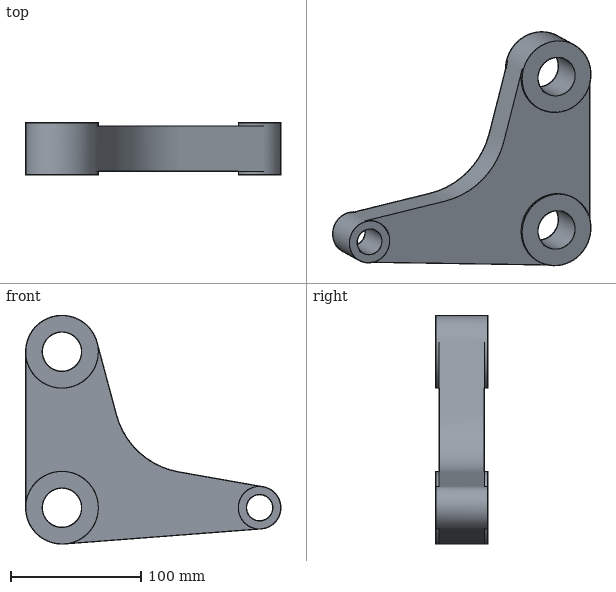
import cadquery as cq
import math

boss_diameter = 56.0
boss_bore = 30.0
end_boss_diameter = 32.8
end_boss_bore = 20.0
boss_length = 40.0
web_thickness = 35.0
upper_boss_z = 120.0
overall_length = 196.4
inner_radius = 60.0
upper_arm_taper = 15.0
side_arm_taper = 10.0

boss_radius = boss_diameter / 2
end_boss_radius = end_boss_diameter / 2
end_boss_x = overall_length - boss_radius - end_boss_radius

corner_center = (0, 0)
upper_center = (0, upper_boss_z)
end_center = (end_boss_x, 0)


def offset_point(center, distance, angle):
    """Point at a distance from a center, in the direction given in degrees."""
    a = math.radians(angle)
    return (center[0] + distance * math.cos(a), center[1] + distance * math.sin(a))


def lines_crossing(point_a, angle_a, point_b, angle_b):
    """Crossing of two lines, each given by a point and a direction in degrees."""
    a = math.radians(angle_a)
    b = math.radians(angle_b)
    dx = point_b[0] - point_a[0]
    dz = point_b[1] - point_a[1]
    along = (dx * math.sin(b) - dz * math.cos(b)) / math.sin(b - a)
    return offset_point(point_a, along, angle_a)


def centered_plane(depth):
    """XZ sketch plane from which an extrusion of this depth is centered on Y = 0."""
    return cq.Workplane("XZ", origin=(0, depth / 2, 0))


def cylinder(center, diameter):
    """Cylinder along Y, as long as the bosses and centered on the XZ plane."""
    return centered_plane(boss_length).center(*center).circle(diameter / 2).extrude(boss_length)


def make_web():
    """L-shaped web whose straight edges are tangent to the bosses."""
    upper_normal = upper_arm_taper
    side_normal = 90 - side_arm_taper
    lower_normal = -math.degrees(math.acos((boss_radius - end_boss_radius) / end_boss_x))

    upper_tangent = offset_point(upper_center, boss_radius, upper_normal)
    side_tangent = offset_point(end_center, end_boss_radius, side_normal)

    blend_center = lines_crossing(
        offset_point(upper_tangent, inner_radius, upper_normal), upper_normal - 90,
        offset_point(side_tangent, inner_radius, side_normal), side_normal - 90,
    )
    blend_start = offset_point(blend_center, -inner_radius, upper_normal)
    blend_middle = offset_point(blend_center, -inner_radius, (upper_normal + side_normal) / 2)
    blend_end = offset_point(blend_center, -inner_radius, side_normal)

    return (
        centered_plane(web_thickness)
        .moveTo(-boss_radius, 0)
        .lineTo(-boss_radius, upper_boss_z)
        .lineTo(*upper_tangent)
        .lineTo(*blend_start)
        .threePointArc(blend_middle, blend_end)
        .lineTo(*side_tangent)
        .lineTo(*offset_point(end_center, end_boss_radius, lower_normal))
        .lineTo(*offset_point(corner_center, boss_radius, lower_normal))
        .close()
        .extrude(web_thickness)
    )


bosses = (
    (corner_center, boss_diameter, boss_bore),
    (upper_center, boss_diameter, boss_bore),
    (end_center, end_boss_diameter, end_boss_bore),
)

result = make_web()
for center, outer_diameter, _ in bosses:
    result = result.union(cylinder(center, outer_diameter))
for center, _, bore_diameter in bosses:
    result = result.cut(cylinder(center, bore_diameter))